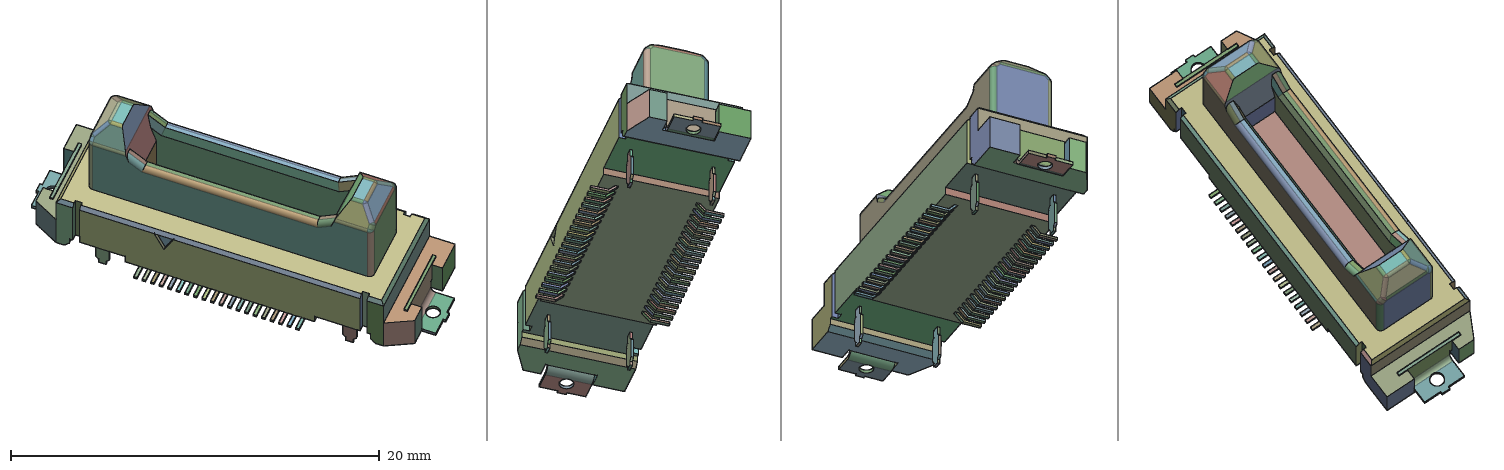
import cadquery as cq
import math


base_half_length = 9.6
base_half_width = 3.3
base_bottom = 0.95
base_top = 3.9
base_chamfer = 0.2
end_block_inner_x = 8.82
end_block_bottom = 0.28
end_block_chamfer = 0.3
pod_half_length = 5.55
pod_bottom = 0.5
notch_center_x = 8.42
notch_width = 0.4
notch_depth = 0.38

mark_x = -3.28
mark_half_width = 0.57
mark_height = 1.1
mark_depth = 0.2

ear_half_length = 11.1
ear_top = 2.25
ear_pocket_half_width = 1.48
ear_corner_y = -2.5

tower_half_length = 8.35
tower_half_width = 1.85
tower_round = 0.3
crest_top = 8.8
end_eave_z = 7.97
side_eave_z = 7.77
crest_inner_x = 6.73
crest_inner_foot = (6.16, 7.88)
wall_top = 7.03
wall_slope_start_x = 5.07
wall_slope_angle = 32

cavity_half_length = 5.5
cavity_half_width = 1.07
cavity_slope_bottom = 5.95
lip_width = 0.22
lip_height = 0.5

contact_count = 20
contact_pitch = 0.5
contact_width = 0.2
contact_thickness = 0.14
contact_tip_y = 3.8
contact_bend_y = 2.72
contact_embed = 0.2

peg_x = 7.24
peg_y = 2.35
peg_thickness = 0.15
peg_half_neck = 0.22
peg_half_blade = 0.4
peg_half_tip = 0.22
peg_neck_z = 0.5
peg_shoulder_z = 0.3
peg_taper_z = -0.95
peg_tip_z = -1.4
peg_tip_length = 0.25
peg_embed = 0.3

clip_inner_x = 10.28
clip_thickness = 0.2
clip_bend_radius = 0.3
clip_top = 2.36
clip_plate_half_width = 2.06
clip_step_z = 0.98
clip_foot_half_width = 1.33
clip_foot_x = 11.85
clip_tab_x = 12.0
clip_tab_half_width = 0.26
clip_hole_x = 11.15
clip_hole_diameter = 0.8

selection_margin = 0.01


def box(x_range, y_range, z_range):
    """Axis-aligned block spanning the given ranges."""
    size = [high - low for low, high in (x_range, y_range, z_range)]
    corner = (x_range[0], y_range[0], z_range[0])
    return cq.Workplane("XY").box(*size, centered=False).translate(corner)


def prism_along_y(points, y_low, y_high):
    """Extrude an X-Z outline between two Y positions."""
    return cq.Workplane("XZ", origin=(0, y_high, 0)).polyline(points).close().extrude(y_high - y_low)


def prism_along_x(points, x_low, x_high):
    """Extrude a Y-Z outline between two X positions."""
    return cq.Workplane("YZ", origin=(x_low, 0, 0)).polyline(points).close().extrude(x_high - x_low)


def both_ends(points):
    """Complete an outline given for the +X half with its mirror image."""
    return points + [(-x, z) for x, z in reversed(points)]


def make_base():
    """Stepped housing with a chamfered top, corner notches and the pin-one mark."""
    outline = both_ends([
        (pod_half_length, pod_bottom),
        (pod_half_length, base_bottom),
        (end_block_inner_x, base_bottom),
        (end_block_inner_x, end_block_bottom + end_block_chamfer),
        (end_block_inner_x + end_block_chamfer, end_block_bottom),
        (base_half_length, end_block_bottom),
        (base_half_length, base_top),
    ])
    base = prism_along_y(outline, -base_half_width, base_half_width)
    base = base.faces(">Z").edges().chamfer(base_chamfer)

    notches = (
        cq.Workplane("XY")
        .rarray(2 * notch_center_x, 2 * base_half_width, 2, 2)
        .rect(notch_width, 2 * notch_depth)
        .extrude(base_top)
    )
    mark_top = base_top - base_chamfer
    mark = prism_along_y(
        [
            (mark_x - mark_half_width, mark_top),
            (mark_x + mark_half_width, mark_top),
            (mark_x, mark_top - mark_height),
        ],
        -base_half_width,
        -base_half_width + mark_depth,
    )
    return base.cut(notches).cut(mark)


def make_ear():
    """Ear at the +X end, with an open pocket for the clip foot."""
    root_x = end_block_inner_x + end_block_chamfer
    ear = (
        cq.Workplane("XY", origin=(0, 0, end_block_bottom))
        .polyline([
            (root_x, -base_half_width),
            (base_half_length, -base_half_width),
            (ear_half_length, ear_corner_y),
            (ear_half_length, base_half_width),
            (root_x, base_half_width),
        ])
        .close()
        .extrude(ear_top - end_block_bottom)
    )
    pocket = box(
        (clip_inner_x, ear_half_length),
        (-ear_pocket_half_width, ear_pocket_half_width),
        (end_block_bottom, ear_top),
    )
    return ear.cut(pocket)


def cavity_end_run():
    """Outward X travel per unit of height on the sloping cavity end face."""
    foot_x, foot_z = crest_inner_foot
    return (foot_x - cavity_half_length) / (foot_z - cavity_slope_bottom)


def cavity_end_x(z):
    """X of the sloping cavity end face at height z."""
    return cavity_half_length + cavity_end_run() * (z - cavity_slope_bottom)


def wall_end():
    """Point where the rising wall top meets the sloping cavity end face."""
    run = cavity_end_run()
    rise = math.tan(math.radians(wall_slope_angle))
    z = (wall_top + rise * (cavity_end_x(0) - wall_slope_start_x)) / (1 - rise * run)
    return cavity_end_x(z), z


def make_crest():
    """End block of the tower at +X: sloped all round at the top, with rounded outer edges."""
    crest = prism_along_y(
        [
            (cavity_half_length, base_top),
            (cavity_half_length, cavity_slope_bottom),
            crest_inner_foot,
            (crest_inner_x, crest_top),
            (tower_half_length - (crest_top - end_eave_z), crest_top),
            (tower_half_length, end_eave_z),
            (tower_half_length, base_top),
        ],
        -tower_half_width,
        tower_half_width,
    )
    flank_run = crest_top - side_eave_z
    flank = prism_along_x(
        [
            (tower_half_width, side_eave_z),
            (tower_half_width, crest_top),
            (tower_half_width - flank_run, crest_top),
        ],
        cavity_half_length,
        tower_half_length,
    )
    crest = crest.cut(flank).cut(flank.mirror("XZ"))

    rounded_edges = cq.selectors.BoxSelector(
        (crest_inner_x + selection_margin, -base_half_width, base_top + selection_margin),
        (base_half_length, base_half_width, crest_top + selection_margin),
    )
    return crest.edges(rounded_edges).fillet(tower_round)


def rim_edges(y):
    """Selects the top edges of a long wall that lie at the given Y."""
    return cq.selectors.BoxSelector(
        (-tower_half_length, y - selection_margin, wall_top - selection_margin),
        (tower_half_length, y + selection_margin, side_eave_z),
    )


def make_wall():
    """Long wall on the +Y side: rounded outside, with a steep lead-in along the cavity."""
    outline = both_ends([
        (wall_slope_start_x, wall_top),
        wall_end(),
        (cavity_half_length, cavity_slope_bottom),
        (cavity_half_length, base_top),
    ])
    wall = prism_along_y(outline, cavity_half_width, tower_half_width)
    inner_rim = rim_edges(cavity_half_width)
    outer_rim = rim_edges(tower_half_width)
    wall = wall.edges(inner_rim).chamfer(lip_width, lip_height)
    return wall.edges(outer_rim).fillet(tower_round)


def make_contact(x):
    """Gull-wing contact on the +Y side: a flat foot and a leg rising at 45 degrees into the pod."""
    root_z = pod_bottom + contact_embed
    root_y = contact_bend_y - root_z
    bend_shift = contact_thickness * (math.sqrt(2) - 1)
    outline = [
        (contact_tip_y, 0),
        (contact_tip_y, contact_thickness),
        (contact_bend_y + bend_shift, contact_thickness),
        (root_y + contact_thickness + bend_shift, root_z),
        (root_y, root_z),
        (contact_bend_y, 0),
    ]
    return prism_along_x(outline, x - contact_width / 2, x + contact_width / 2)


def make_peg():
    """Flat arrow-shaped peg at +X, +Y."""
    right_side = [
        (peg_half_neck, base_bottom + peg_embed),
        (peg_half_neck, peg_neck_z),
        (peg_half_blade, peg_shoulder_z),
        (peg_half_blade, peg_taper_z),
        (peg_half_tip, peg_tip_z + peg_tip_length),
        (peg_half_tip, peg_tip_z),
    ]
    peg = prism_along_y(both_ends(right_side), peg_y - peg_thickness / 2, peg_y + peg_thickness / 2)
    return peg.translate((peg_x, 0, 0))


def make_clip():
    """Board clip at +X: an upright plate bent outwards into a foot with a hole and a tab."""
    plate_outer_x = clip_inner_x + clip_thickness
    bend_x = plate_outer_x + clip_bend_radius
    bend_z = clip_thickness + clip_bend_radius
    outer_radius = clip_bend_radius + clip_thickness
    diagonal = math.sqrt(0.5)
    strip = (
        cq.Workplane("XZ", origin=(0, clip_foot_half_width, 0))
        .moveTo(clip_inner_x, clip_top)
        .lineTo(clip_inner_x, bend_z)
        .threePointArc((bend_x - outer_radius * diagonal, bend_z - outer_radius * diagonal), (bend_x, 0))
        .lineTo(clip_foot_x, 0)
        .lineTo(clip_foot_x, clip_thickness)
        .lineTo(bend_x, clip_thickness)
        .threePointArc(
            (bend_x - clip_bend_radius * diagonal, bend_z - clip_bend_radius * diagonal),
            (plate_outer_x, bend_z),
        )
        .lineTo(plate_outer_x, clip_top)
        .close()
        .extrude(2 * clip_foot_half_width)
    )
    plate = box(
        (clip_inner_x, plate_outer_x),
        (-clip_plate_half_width, clip_plate_half_width),
        (clip_step_z, clip_top),
    )
    tab = box(
        (clip_foot_x, clip_tab_x),
        (-clip_tab_half_width, clip_tab_half_width),
        (0, clip_thickness),
    )
    hole = cq.Workplane("XY").center(clip_hole_x, 0).circle(clip_hole_diameter / 2).extrude(clip_thickness)
    return strip.union(plate).union(tab).cut(hole)


def mirrored_pair(body, plane):
    """The body together with its mirror image across the given plane."""
    return body.union(body.mirror(plane))


end_parts = make_ear().union(make_clip()).union(make_crest()).union(mirrored_pair(make_peg(), "XZ"))
side_parts = make_wall()
for index in range(contact_count):
    contact_x = (index - (contact_count - 1) / 2) * contact_pitch
    side_parts = side_parts.union(make_contact(contact_x))

result = make_base().union(mirrored_pair(end_parts, "YZ")).union(mirrored_pair(side_parts, "XZ"))